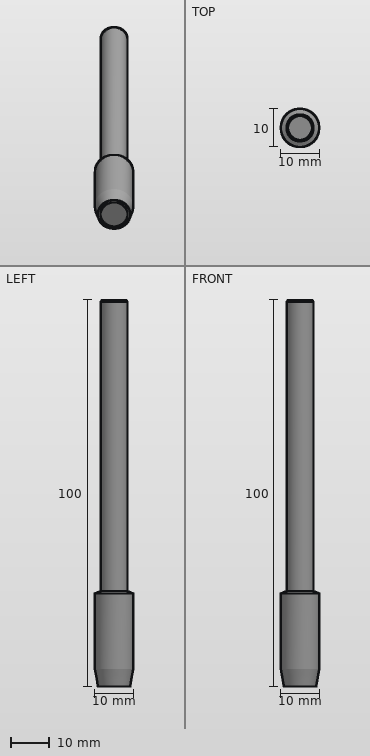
import cadquery as cq

total_length = 100.0
rod_radius = 3.5
rod_chamfer = 0.4

sleeve_radius = 5.0
sleeve_length = 24.7
shoulder_height = 0.6
nose_height = 4.5
nose_end_radius = 4.2


def make_rod():
    """Straight round rod with a chamfered upper end."""
    rod = cq.Workplane("XY").circle(rod_radius).extrude(total_length)
    return rod.faces(">Z").chamfer(rod_chamfer)


def make_sleeve():
    """Bored sleeve with a tapered nose below and a shallow conical shoulder above."""
    half_section = [
        (rod_radius, 0),
        (nose_end_radius, 0),
        (sleeve_radius, nose_height),
        (sleeve_radius, sleeve_length - shoulder_height),
        (rod_radius, sleeve_length),
    ]
    return cq.Workplane("XZ").polyline(half_section).close().revolve(360, (0, 0), (0, 1))


rod = make_rod()
sleeve = make_sleeve()

result = cq.Compound.makeCompound([rod.val(), sleeve.val()])